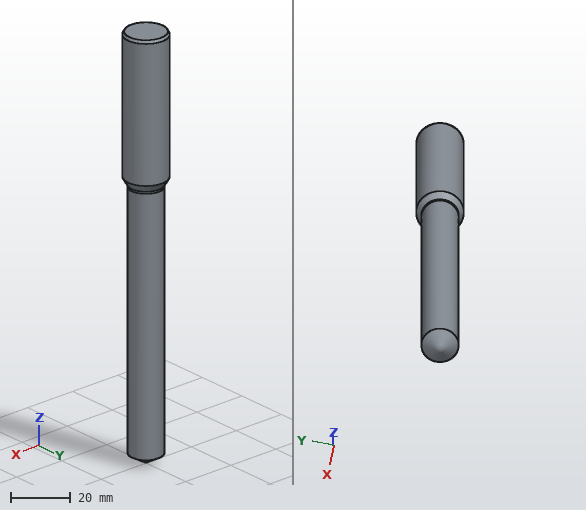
import cadquery as cq
import math

total_length = 158.0
shank_diameter = 16.0
shank_chamfer_width = 0.6
shank_chamfer_height = 1.1
drill_diameter = 12.5
point_angle = 118.0
neck_diameter = 12.6
neck_bottom = 101.3
neck_top = 102.0
taper_top = 104.9

shank_radius = shank_diameter / 2
neck_radius = neck_diameter / 2
drill_radius = drill_diameter / 2
point_height = drill_radius / math.tan(math.radians(point_angle / 2))


def revolve_profile(points):
    """Turn a closed half profile of (radius, height) points about the Z axis."""
    return cq.Workplane("XZ").polyline(points).close().revolve(360, (0, 0, 0), (0, 1, 0))


def make_shank():
    """Clamping shank with a chamfered top, tapering down to a short neck."""
    return revolve_profile([
        (0, neck_bottom),
        (neck_radius, neck_bottom),
        (neck_radius, neck_top),
        (shank_radius, taper_top),
        (shank_radius, total_length - shank_chamfer_height),
        (shank_radius - shank_chamfer_width, total_length),
        (0, total_length),
    ])


def make_drill():
    """Plain cylindrical drill body with a conical tip, butting against the neck."""
    return revolve_profile([
        (0, 0),
        (drill_radius, point_height),
        (drill_radius, neck_bottom),
        (0, neck_bottom),
    ])


shank = make_shank()
drill = make_drill()

result = cq.Compound.makeCompound([shank.val(), drill.val()])